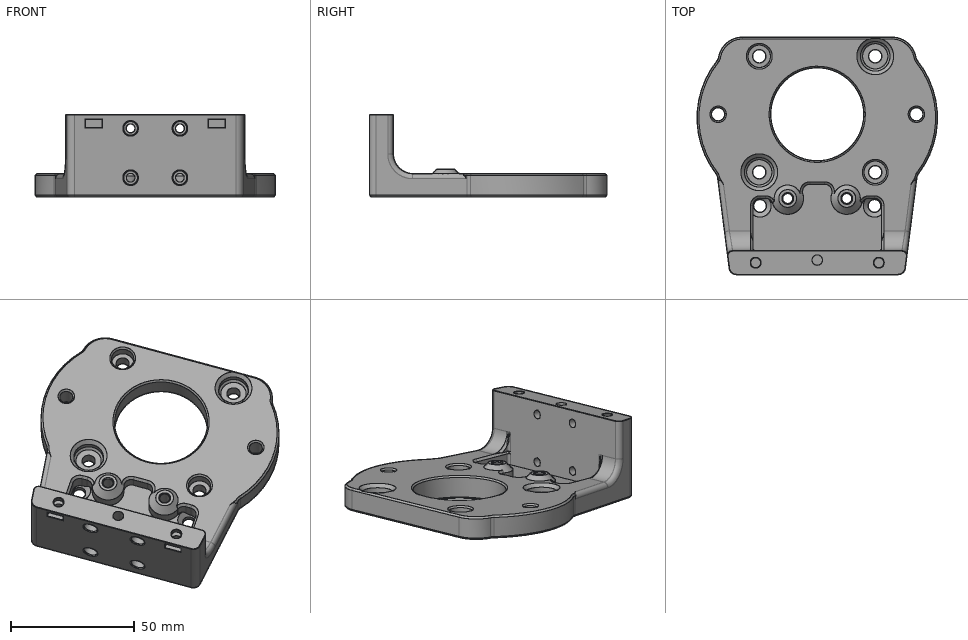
import cadquery as cq
PLATE_THICKNESS = 9.6
TOTAL_HEIGHT = 33.5
BACK_Y = 31.4
FRONT_Y = -65.1
WALL_THICKNESS = 9.8
WALL_INNER_Y = FRONT_Y + WALL_THICKNESS
COVE_RADIUS = 8.0
EDGE_CHAMFER = 0.8
FINE_CHAMFER = 0.2

HALF_LENGTH_X = 48.8
FLANK_RADIUS = 37.1
FLANK_CENTER_X = HALF_LENGTH_X - FLANK_RADIUS
FLANK_CENTER_Y = -1.5
BACK_HALF_WIDTH = 40.2
BACK_CORNER_RADIUS = 10.0
BLEND_RADIUS = 3.0
HEAD_FRONT_Y = -25.2

TONGUE_BACK_Y = -21.5
TONGUE_BACK_HALF_WIDTH = 41.0
TONGUE_FRONT_HALF_WIDTH = 35.5
WALL_CORNER_RADIUS = 3.0
TONGUE_EDGE_FILLET = 2.05
TONGUE_TAPER = (TONGUE_BACK_HALF_WIDTH - TONGUE_FRONT_HALF_WIDTH) / (TONGUE_BACK_Y - FRONT_Y)

ROOT_SIDE_Y = -25.9
ROOT_FRONT_Y = -30.3
ROOT_FRONT_HALF_WIDTH = 37.9

BORE_DIAMETER = 37.7
MOTOR_HOLE_OFFSET = 23.5
MOTOR_HOLE_DIAMETER = 5.3
PLAIN_SEAT_DIAMETER = 9.1
SEAT_FLOOR_Z = 5.1
DEEP_SEAT_DIAMETER = 12.0
DEEP_SEAT_CHAMFER = 1.5
DEEP_SEAT_FLOOR_CHAMFER = 0.9
SIDE_HOLE_X = 40.2
SIDE_HOLE_DIAMETER = 5.3
HOLE_CHAMFER = 0.7

POCKET_FLOOR_Z = 4.0
POCKET_HALF_WIDTH = 26.1
POCKET_BACK_Y = -34.1
POCKET_MAIN_BACK_Y = -36.1
POCKET_CORNER_RADIUS = 2.9
POCKET_FRONT_RADIUS = 1.0
POCKET_CHAMFER = 1.0
EAR_WIDTH = 8.0
EAR_LENGTH = 11.7
NOTCH_HALF_WIDTH = 6.0
NOTCH_BACK_Y = -28.4
EAR_HOLE_X = 23.2
EAR_HOLE_Y = -37.2
EAR_HOLE_DIAMETER = 5.1
EAR_SINK_DIAMETER = 9.1

BOSS_X = 12.0
BOSS_Y = -34.2
BOSS_TOP_Z = 11.4
BOSS_RADIUS = 6.4
BOSS_HOLE_DIAMETER = 4.0
BOSS_HOLE_CHAMFER = 0.4

WALL_HOLE_PITCH = 20.0
WALL_HOLE_X = WALL_HOLE_PITCH / 2
WALL_HOLE_LOW_Z = 7.9
WALL_HOLE_DIAMETER = 3.5
WALL_SEAT_DIAMETER = 5.6
WALL_SEAT_DEPTH = 4.0
WALL_SEAT_CHAMFER = 0.4
NUT_HOLE_X = 25.0
NUT_HOLE_Y = -60.3
NUT_HOLE_DIAMETER = 4.0
NUT_HOLE_DEPTH = 9.8
NUT_SLOT_WIDTH = 6.6
NUT_SLOT_HEIGHT = 3.2
NUT_SLOT_DEPTH = 8.4
NUT_SLOT_Z = 30.0
PIN_HOLE_Y = -59.2
PIN_HOLE_DIAMETER = 4.2
PIN_HOLE_DEPTH = 9.8

SIDES = (-1, 1)


def block(x_min, x_max, y_min, y_max, z_min, z_max):
    size = (x_max - x_min, y_max - y_min, z_max - z_min)
    return cq.Workplane("XY").box(*size, centered=False).translate((x_min, y_min, z_min))


def cylinder(x, y, diameter, z_min, z_max):
    return cq.Workplane("XY", origin=(x, y, z_min)).circle(diameter / 2).extrude(z_max - z_min)


def cone(x, y, z_min, z_max, radius_min, radius_max):
    """Upright frustum with its own radius at each end."""
    return cq.Workplane(cq.Solid.makeCone(
        radius_min, radius_max, z_max - z_min, cq.Vector(x, y, z_min), cq.Vector(0, 0, 1)
    ))


def flare(x, y, diameter, z_top, size):
    """45 degree chamfer cutter for the rim of a hole that opens upwards."""
    return cone(x, y, z_top - size, z_top, diameter / 2, diameter / 2 + size)


def tongue_half_width(y):
    return TONGUE_BACK_HALF_WIDTH - TONGUE_TAPER * (TONGUE_BACK_Y - y)


def symmetric_outline(right_side):
    """Closed polygon from the points of its right side, mirrored across the YZ plane."""
    left_side = [(-x, y) for x, y in reversed(right_side)]
    return cq.Workplane("XY").polyline(right_side + left_side).close()


def plate_head():
    head = block(-BACK_HALF_WIDTH, BACK_HALF_WIDTH, FLANK_CENTER_Y, BACK_Y, 0, PLATE_THICKNESS)
    head = head.edges("|Z and >Y").fillet(BACK_CORNER_RADIUS)
    limits = block(-HALF_LENGTH_X, HALF_LENGTH_X, HEAD_FRONT_Y, BACK_Y, 0, PLATE_THICKNESS)
    for side in SIDES:
        flank = cylinder(side * FLANK_CENTER_X, FLANK_CENTER_Y, 2 * FLANK_RADIUS, 0, PLATE_THICKNESS)
        head = head.union(flank.intersect(limits))
    root = symmetric_outline([
        (tongue_half_width(TONGUE_BACK_Y), TONGUE_BACK_Y),
        (tongue_half_width(ROOT_SIDE_Y), ROOT_SIDE_Y),
        (ROOT_FRONT_HALF_WIDTH, ROOT_FRONT_Y),
    ]).extrude(PLATE_THICKNESS)
    head = head.union(root).clean()

    step_y = BACK_Y - BACK_CORNER_RADIUS
    for side in SIDES:
        for x, y in ((BACK_HALF_WIDTH, step_y), (tongue_half_width(HEAD_FRONT_Y), HEAD_FRONT_Y)):
            inner_corner = cq.selectors.NearestToPointSelector((side * x, y, PLATE_THICKNESS / 2))
            head = head.edges("|Z").edges(inner_corner).fillet(BLEND_RADIUS)
    return head.faces("<Z or >Z").edges().chamfer(EDGE_CHAMFER)


def tongue_and_wall():
    plan = symmetric_outline([
        (TONGUE_BACK_HALF_WIDTH, TONGUE_BACK_Y),
        (TONGUE_FRONT_HALF_WIDTH, FRONT_Y),
    ]).extrude(TOTAL_HEIGHT)
    cove_start_y = WALL_INNER_Y + COVE_RADIUS
    profile = (
        cq.Workplane("YZ", origin=(-HALF_LENGTH_X, 0, 0))
        .moveTo(FRONT_Y, 0)
        .lineTo(TONGUE_BACK_Y, 0)
        .lineTo(TONGUE_BACK_Y, PLATE_THICKNESS)
        .lineTo(cove_start_y, PLATE_THICKNESS)
        .radiusArc((WALL_INNER_Y, PLATE_THICKNESS + COVE_RADIUS), COVE_RADIUS)
        .lineTo(WALL_INNER_Y, TOTAL_HEIGHT)
        .lineTo(FRONT_Y, TOTAL_HEIGHT)
        .close()
        .extrude(2 * HALF_LENGTH_X)
    )
    body = plan.intersect(profile)
    body = body.edges("|Z and <Y").fillet(WALL_CORNER_RADIUS)
    edge_middle_y = (TONGUE_BACK_Y + cove_start_y) / 2
    for side in SIDES:
        plate_edge = cq.selectors.NearestToPointSelector(
            (side * tongue_half_width(edge_middle_y), edge_middle_y, PLATE_THICKNESS)
        )
        body = body.edges(plate_edge).fillet(TONGUE_EDGE_FILLET)
    body = body.faces("<Z").edges().chamfer(EDGE_CHAMFER)
    return body.faces(">Z").edges().chamfer(FINE_CHAMFER)


def boss(side):
    shoulder_z = PLATE_THICKNESS - POCKET_CHAMFER
    top_radius = BOSS_RADIUS - (BOSS_TOP_Z - shoulder_z)
    column = cylinder(side * BOSS_X, BOSS_Y, 2 * BOSS_RADIUS, POCKET_FLOOR_Z, shoulder_z)
    tip = cone(side * BOSS_X, BOSS_Y, shoulder_z, BOSS_TOP_Z, BOSS_RADIUS, top_radius)
    return column.union(tip)


def pocket_part(x_min, x_max, y_min, y_max):
    """Recess with round corners and a chamfered top rim."""
    shoulder_z = PLATE_THICKNESS - POCKET_CHAMFER
    recess = block(x_min, x_max, y_min, y_max, POCKET_FLOOR_Z, shoulder_z)
    recess = recess.edges("|Z and >Y").fillet(POCKET_CORNER_RADIUS)
    recess = recess.edges("|Z and <Y").fillet(POCKET_FRONT_RADIUS)
    rim = recess.faces(">Z").wires().toPending().workplane().extrude(
        POCKET_CHAMFER, taper=-45, combine=False
    )
    return recess.union(rim)


def pocket():
    inside = POCKET_HALF_WIDTH
    ear_inside = POCKET_HALF_WIDTH - EAR_WIDTH
    ear_front_y = POCKET_BACK_Y - EAR_LENGTH
    body = pocket_part(-inside, inside, WALL_INNER_Y, POCKET_MAIN_BACK_Y)
    body = body.union(pocket_part(-NOTCH_HALF_WIDTH, NOTCH_HALF_WIDTH, ear_front_y, NOTCH_BACK_Y))
    for x_min, x_max in ((-inside, -ear_inside), (ear_inside, inside)):
        body = body.union(pocket_part(x_min, x_max, ear_front_y, POCKET_BACK_Y))

    behind_wall = block(
        -HALF_LENGTH_X, HALF_LENGTH_X, WALL_INNER_Y, BACK_Y, POCKET_FLOOR_Z, PLATE_THICKNESS
    )
    body = body.intersect(behind_wall)

    floor = body.faces("<Z").wires().toPending().workplane().extrude(POCKET_FLOOR_Z, combine=False)
    sink_size = (EAR_SINK_DIAMETER - EAR_HOLE_DIAMETER) / 2
    for side in SIDES:
        sink = flare(side * EAR_HOLE_X, EAR_HOLE_Y, EAR_HOLE_DIAMETER, POCKET_FLOOR_Z, sink_size)
        body = body.union(sink.intersect(floor))
    return body


def cove_gap():
    """Clears the cove between the pocket walls and chamfers the two cut ends of the cove."""
    cove_y = WALL_INNER_Y + COVE_RADIUS
    cove_z = PLATE_THICKNESS + COVE_RADIUS
    inside = POCKET_HALF_WIDTH
    gap = block(-inside, inside, WALL_INNER_Y, cove_y, PLATE_THICKNESS - POCKET_CHAMFER, cove_z)
    gap = gap.edges("|Z and <Y").fillet(POCKET_FRONT_RADIUS)
    limits = block(-HALF_LENGTH_X, HALF_LENGTH_X, WALL_INNER_Y, cove_y, 0, cove_z)
    for side in SIDES:
        rim = cq.Workplane(cq.Solid.makeCone(
            COVE_RADIUS + POCKET_CHAMFER,
            COVE_RADIUS,
            POCKET_CHAMFER,
            cq.Vector(side * inside, cove_y, cove_z),
            cq.Vector(side, 0, 0),
        ))
        gap = gap.union(rim.intersect(limits))
    return gap


def plate_hole(x, y, diameter, top_z=PLATE_THICKNESS):
    return cylinder(x, y, diameter, 0, top_z)


def bore_cutter():
    rim = flare(0, 0, BORE_DIAMETER, PLATE_THICKNESS, HOLE_CHAMFER)
    lower_rim = cone(0, 0, 0, HOLE_CHAMFER, BORE_DIAMETER / 2 + HOLE_CHAMFER, BORE_DIAMETER / 2)
    return plate_hole(0, 0, BORE_DIAMETER).union(rim).union(lower_rim)


def side_hole(side):
    x = side * SIDE_HOLE_X
    rim = flare(x, 0, SIDE_HOLE_DIAMETER, PLATE_THICKNESS, HOLE_CHAMFER)
    return plate_hole(x, 0, SIDE_HOLE_DIAMETER).union(rim)


def plain_motor_hole(x, y):
    seat = cylinder(x, y, PLAIN_SEAT_DIAMETER, SEAT_FLOOR_Z, PLATE_THICKNESS)
    rim = flare(x, y, PLAIN_SEAT_DIAMETER, PLATE_THICKNESS, HOLE_CHAMFER)
    return plate_hole(x, y, MOTOR_HOLE_DIAMETER).union(seat).union(rim)


def deep_motor_hole(x, y):
    wide_z = SEAT_FLOOR_Z + DEEP_SEAT_FLOOR_CHAMFER
    wide_radius = DEEP_SEAT_DIAMETER / 2
    seat = cylinder(x, y, DEEP_SEAT_DIAMETER, wide_z, PLATE_THICKNESS)
    floor = cone(x, y, SEAT_FLOOR_Z, wide_z, wide_radius - DEEP_SEAT_FLOOR_CHAMFER, wide_radius)
    rim = flare(x, y, DEEP_SEAT_DIAMETER, PLATE_THICKNESS, DEEP_SEAT_CHAMFER)
    return plate_hole(x, y, MOTOR_HOLE_DIAMETER).union(seat).union(floor).union(rim)


def boss_hole(side):
    x = side * BOSS_X
    rim = flare(x, BOSS_Y, BOSS_HOLE_DIAMETER, BOSS_TOP_Z, BOSS_HOLE_CHAMFER)
    return plate_hole(x, BOSS_Y, BOSS_HOLE_DIAMETER, BOSS_TOP_Z).union(rim)


def wall_hole(x, z):
    """Screw hole through the wall with a flat seat on the front face."""
    front = cq.Workplane("XZ", origin=(x, FRONT_Y, z))
    hole = front.circle(WALL_HOLE_DIAMETER / 2).extrude(-WALL_THICKNESS)
    seat = front.circle(WALL_SEAT_DIAMETER / 2).extrude(-WALL_SEAT_DEPTH)
    rim = cq.Workplane(cq.Solid.makeCone(
        WALL_SEAT_DIAMETER / 2 + WALL_SEAT_CHAMFER,
        WALL_SEAT_DIAMETER / 2,
        WALL_SEAT_CHAMFER,
        cq.Vector(x, FRONT_Y, z),
        cq.Vector(0, 1, 0),
    ))
    return hole.union(seat).union(rim)


def nut_trap(side):
    """Vertical screw hole in the top of the wall, crossed by a nut slot from the front."""
    x = side * NUT_HOLE_X
    hole = cylinder(x, NUT_HOLE_Y, NUT_HOLE_DIAMETER, TOTAL_HEIGHT - NUT_HOLE_DEPTH, TOTAL_HEIGHT)
    rim = flare(x, NUT_HOLE_Y, NUT_HOLE_DIAMETER, TOTAL_HEIGHT, FINE_CHAMFER)
    front = cq.Workplane("XZ", origin=(x, FRONT_Y, NUT_SLOT_Z))
    slot = front.rect(NUT_SLOT_WIDTH, NUT_SLOT_HEIGHT).extrude(-NUT_SLOT_DEPTH)
    slot_rim = (
        front.rect(NUT_SLOT_WIDTH + 2 * FINE_CHAMFER, NUT_SLOT_HEIGHT + 2 * FINE_CHAMFER)
        .extrude(-FINE_CHAMFER, taper=45)
    )
    return hole.union(rim).union(slot).union(slot_rim)


def pin_hole():
    return cylinder(0, PIN_HOLE_Y, PIN_HOLE_DIAMETER, TOTAL_HEIGHT - PIN_HOLE_DEPTH, TOTAL_HEIGHT)


result = plate_head().union(tongue_and_wall())
result = result.cut(pocket()).cut(cove_gap())
result = result.cut(bore_cutter()).cut(pin_hole())
for side in SIDES:
    result = result.union(boss(side)).cut(boss_hole(side))
    result = result.cut(plate_hole(side * EAR_HOLE_X, EAR_HOLE_Y, EAR_HOLE_DIAMETER))
    result = result.cut(side_hole(side))
    result = result.cut(plain_motor_hole(side * MOTOR_HOLE_OFFSET, -side * MOTOR_HOLE_OFFSET))
    result = result.cut(deep_motor_hole(side * MOTOR_HOLE_OFFSET, side * MOTOR_HOLE_OFFSET))
    result = result.cut(nut_trap(side))
    for row in range(2):
        hole_z = WALL_HOLE_LOW_Z + row * WALL_HOLE_PITCH
        result = result.cut(wall_hole(side * WALL_HOLE_X, hole_z))